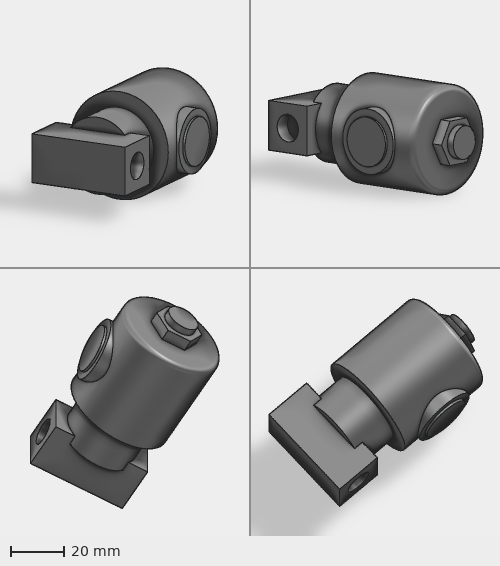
import cadquery as cq


block_width = 40.0
block_side = 19.0
port_diameter = 10.5
port_depth = 6.0

bonnet_diameter = 30.0
bonnet_overlap = 4.0
bonnet_start = block_side - bonnet_overlap
bonnet_end = 31.5

spacer_diameter = 25.7
spacer_thickness = 0.5

coil_start = bonnet_end + spacer_thickness
coil_diameter = 42.0
coil_length = 40.4
coil_end = coil_start + coil_length
coil_fillet = 2.4

connector_y = coil_start + 19.0
connector_diameter = 25.0
connector_reach = coil_diameter / 2 + 1.0
connector_face_diameter = 19.0
connector_face_reach = connector_reach + 1.0

nut_across_flats = 17.0
nut_height = 4.6
nut_sides = 6
nut_turn = 180 / nut_sides
nut_end = coil_end + nut_height
stud_diameter = 12.8
stud_end = 79.93


def cylinder_along_y(diameter, start, end):
    """Cylinder on the Y axis between two Y positions."""
    return (
        cq.Workplane("XZ", origin=(0, start, 0))
        .circle(diameter / 2)
        .extrude(start - end)
    )


def connector_step(diameter, reach):
    """Cylinder from the coil axis out to a given X."""
    return (
        cq.Workplane("YZ", origin=(0, connector_y, 0))
        .circle(diameter / 2)
        .extrude(reach)
    )


def port(side):
    """Blind port in one end of the block; side is -1 or +1 along X."""
    return (
        cq.Workplane("YZ", origin=(side * block_width / 2, block_side / 2, 0))
        .circle(port_diameter / 2)
        .extrude(-side * port_depth)
    )


def hex_nut():
    """Nut with two opposite corners on the X direction."""
    return (
        cq.Workplane("XZ", origin=(0, coil_end, 0))
        .polygon(nut_sides, nut_across_flats, circumscribed=True)
        .extrude(-nut_height)
        .rotate((0, 0, 0), (0, 1, 0), nut_turn)
    )


def make_valve():
    """Block with its ports, the bonnet and the spacer."""
    valve = cq.Workplane("XY").box(
        block_width, block_side, block_side, centered=(True, False, True)
    )
    valve = valve.union(cylinder_along_y(bonnet_diameter, bonnet_start, bonnet_end))
    valve = valve.union(cylinder_along_y(spacer_diameter, bonnet_end, coil_start))
    for side in (-1, 1):
        valve = valve.cut(port(side))
    return valve


def make_coil():
    """Coil housing with its side connector, nut and stud end."""
    coil = cylinder_along_y(coil_diameter, coil_start, coil_end)
    coil = coil.faces(">Y").edges().fillet(coil_fillet)
    coil = coil.union(connector_step(connector_diameter, connector_reach))
    coil = coil.union(connector_step(connector_face_diameter, connector_face_reach))
    coil = coil.union(hex_nut())
    coil = coil.union(cylinder_along_y(stud_diameter, nut_end, stud_end))
    return coil


valve = make_valve()
coil = make_coil()

result = cq.Compound.makeCompound([valve.val(), coil.val()])